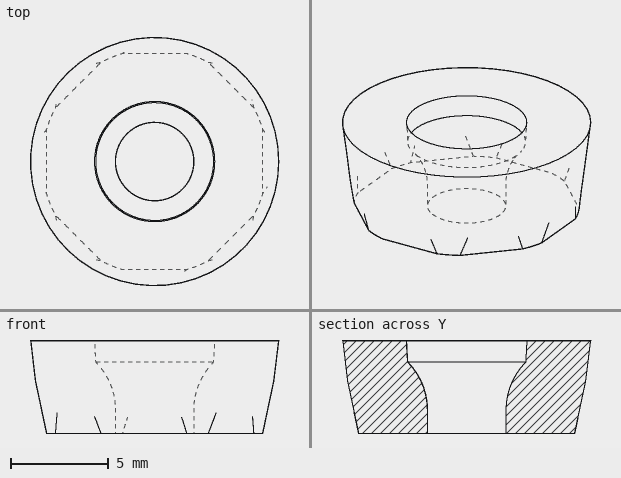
import cadquery as cq
import math


top_diameter = 12.7
thickness = 4.76
relief_angle = 7.0

flat_count = 8
flat_height = 2.68
flat_angle = 12.0

bore_diameter = 4.0
mouth_diameter = 6.15
mouth_depth = 1.1
mouth_angle = 3.2
seat_radius = 3.5


def taper(length, angle):
    """Sideways shift of a wall that leans by angle (degrees) over length."""
    return length * math.tan(math.radians(angle))


top_radius = top_diameter / 2
bottom_radius = top_radius - taper(thickness, relief_angle)
bore_radius = bore_diameter / 2


def make_body():
    """Cone frustum standing on its small face at Z = 0."""
    return (
        cq.Workplane("XZ")
        .polyline([(0, 0), (bottom_radius, 0), (top_radius, thickness), (0, thickness)])
        .close()
        .revolve(360, (0, 0), (0, 1))
    )


def make_flat_cutter():
    """Wedge outside the flat that faces +X; the flat meets the cone at flat_height."""
    apex_distance = bottom_radius + taper(flat_height, relief_angle)
    foot_distance = apex_distance - taper(flat_height, flat_angle)
    outline = [
        (foot_distance, 0),
        (apex_distance, flat_height),
        (top_radius, flat_height),
        (top_radius, 0),
    ]
    return (
        cq.Workplane("XZ")
        .polyline(outline)
        .close()
        .extrude(top_radius, both=True)
    )


def make_screw_hole():
    """Revolved hole; the convex seat arc runs tangent into the straight bore."""
    seat_rim_radius = mouth_diameter / 2 - taper(mouth_depth, mouth_angle)
    seat_rim_z = thickness - mouth_depth
    seat_center_radius = bore_radius + seat_radius
    sweep = math.acos((seat_center_radius - seat_rim_radius) / seat_radius)
    seat_foot_z = seat_rim_z - seat_radius * math.sin(sweep)
    seat_middle = (
        seat_center_radius - seat_radius * math.cos(sweep / 2),
        seat_foot_z + seat_radius * math.sin(sweep / 2),
    )
    return (
        cq.Workplane("XZ")
        .moveTo(0, 0)
        .lineTo(bore_radius, 0)
        .lineTo(bore_radius, seat_foot_z)
        .threePointArc(seat_middle, (seat_rim_radius, seat_rim_z))
        .lineTo(mouth_diameter / 2, thickness)
        .lineTo(0, thickness)
        .close()
        .revolve(360, (0, 0), (0, 1))
    )


result = make_body()
flat_cutter = make_flat_cutter()
for index in range(flat_count):
    angle = index * 360 / flat_count
    result = result.cut(flat_cutter.rotate((0, 0, 0), (0, 0, 1), angle))
result = result.cut(make_screw_hole())